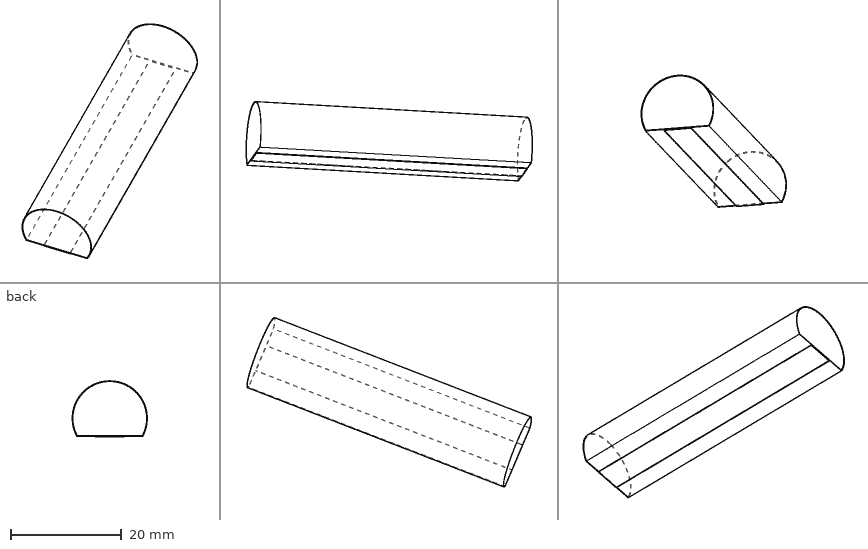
import cadquery as cq
import math

length = 50.0
radius = 6.8
height = 10.2
film_thickness = 0.15
overlap_width = 5.1
end_step = 0.05

flat_z = radius - height + film_thickness


def segment_bar(bar_radius, bottom_z, bar_length):
    """Bar with a flat-bottomed round section, centred on the Y axis."""
    half_width = math.sqrt(bar_radius**2 - bottom_z**2)
    section = (
        cq.Workplane("XZ")
        .moveTo(-half_width, bottom_z)
        .threePointArc((0, bar_radius), (half_width, bottom_z))
        .close()
    )
    return section.extrude(bar_length / 2, both=True)


def core(bar_length):
    """Space inside the film, filled by the bar."""
    return segment_bar(radius - film_thickness, flat_z + film_thickness, bar_length)


def overlap_strip():
    """Second film layer below the flat, sunk into the first for a solid joint."""
    return cq.Workplane("XY", origin=(0, 0, flat_z)).box(
        overlap_width, length - 2 * end_step, 2 * film_thickness
    )


film = segment_bar(radius, flat_z, length).cut(core(length))
result = film.union(core(length - 2 * end_step)).union(overlap_strip())